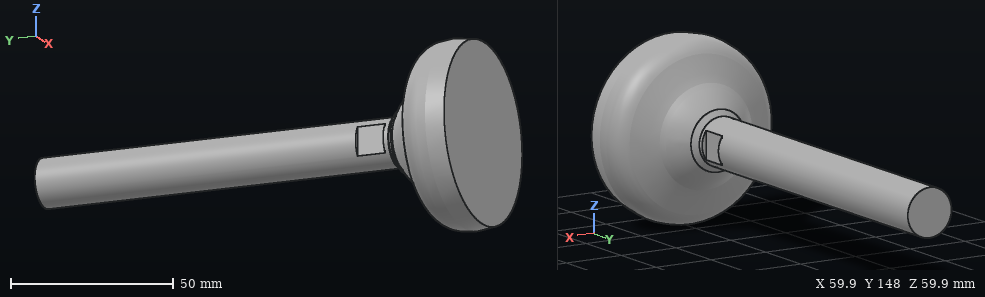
import cadquery as cq

total_length = 148.0

underside_radius = 29.2
rim_radius = 29.97
rim_height = 6.0
wall_top_radius = 29.6
wall_top_height = 9.2
shoulder_mid_radius = 28.3
shoulder_mid_height = 13.2
shoulder_top_radius = 25.3
shoulder_top_height = 15.8
skirt_mid_radius = 20.9
skirt_mid_height = 17.6
skirt_top_radius = 16.9
skirt_top_height = 19.8
dome_base_radius = 15.5
dome_base_height = 21.2
dome_mid_radius = 12.7
dome_mid_height = 24.1
foot_top_radius = 9.3
foot_height = 26.5

stem_radius = 8.0
neck_radius = 7.4
neck_height = 28.5
collar_radius = 9.9
collar_lip_height = 26.8

flat_width = 13.0
flat_start = 30.2
flat_length = 9.3


def make_foot():
    """Domed foot, revolved about Y."""
    profile = (
        cq.Workplane("XY")
        .lineTo(underside_radius, 0)
        .lineTo(rim_radius, rim_height)
        .lineTo(wall_top_radius, wall_top_height)
        .threePointArc(
            (shoulder_mid_radius, shoulder_mid_height),
            (shoulder_top_radius, shoulder_top_height),
        )
        .threePointArc(
            (skirt_mid_radius, skirt_mid_height),
            (skirt_top_radius, skirt_top_height),
        )
        .lineTo(dome_base_radius, dome_base_height)
        .threePointArc(
            (dome_mid_radius, dome_mid_height),
            (foot_top_radius, foot_height),
        )
        .lineTo(0, foot_height)
        .close()
    )
    return profile.revolve(360, (0, 0, 0), (0, 1, 0))


def make_flat_cutter(side):
    """Block that removes the rod outside one wrench flat; side is +1 or -1 along X."""
    cutter_size = 2 * stem_radius
    return cq.Workplane("XY").box(cutter_size, flat_length, cutter_size).translate(
        (side * (flat_width + cutter_size) / 2, flat_start + flat_length / 2, 0)
    )


def make_stem():
    """Rod and collar revolved about Y, with the two wrench flats cut."""
    stem = (
        cq.Workplane("XY")
        .moveTo(0, foot_height)
        .lineTo(foot_top_radius, foot_height)
        .lineTo(collar_radius, collar_lip_height)
        .lineTo(neck_radius, neck_height)
        .lineTo(stem_radius, neck_height)
        .lineTo(stem_radius, total_length)
        .lineTo(0, total_length)
        .close()
        .revolve(360, (0, 0, 0), (0, 1, 0))
    )
    for side in (-1, 1):
        stem = stem.cut(make_flat_cutter(side))
    return stem


foot = make_foot()
stem = make_stem()
result = cq.Compound.makeCompound([foot.val(), stem.val()])